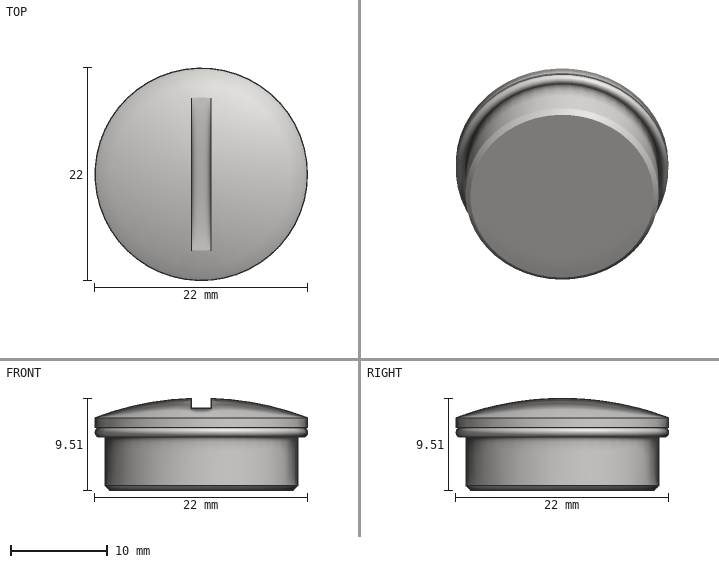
import cadquery as cq
import math

head_diameter = 22.0
apex_height = 9.53
shank_diameter = 20.0
head_bottom = 6.5
shank_chamfer = 0.5
rim_height = 1.01
slot_width = 2.05
slot_depth = 1.03

head_radius = head_diameter / 2
shank_radius = shank_diameter / 2
ring_section_radius = (head_radius - shank_radius) / 2
ring_center_radius = shank_radius + ring_section_radius
ring_center_z = head_bottom - ring_section_radius
dome_base = head_bottom + rim_height
dome_rise = apex_height - dome_base
dome_radius = (head_radius**2 + dome_rise**2) / (2 * dome_rise)
dome_center = apex_height - dome_radius
arc_mid_x = head_radius / 2
arc_mid_z = dome_center + math.sqrt(dome_radius**2 - arc_mid_x**2)


def make_plug():
    """Chamfered shank under a domed head, turned about the Z axis."""
    body = (
        cq.Workplane("XZ")
        .lineTo(shank_radius - shank_chamfer, 0)
        .lineTo(shank_radius, shank_chamfer)
        .lineTo(shank_radius, head_bottom)
        .lineTo(head_radius, head_bottom)
        .lineTo(head_radius, dome_base)
        .threePointArc((arc_mid_x, arc_mid_z), (0, apex_height))
        .close()
        .revolve(360, (0, 0), (0, 1))
    )
    return body.cut(make_slot())


def make_slot():
    """Screwdriver slot along Y; its flat floor runs out through the dome."""
    return (
        cq.Workplane("XY")
        .workplane(offset=apex_height - slot_depth)
        .rect(slot_width, head_diameter)
        .extrude(slot_depth)
    )


def make_seal_ring():
    """Round-section sealing ring that touches the shank and the underside of the head."""
    return (
        cq.Workplane("XZ")
        .center(ring_center_radius, ring_center_z)
        .circle(ring_section_radius)
        .revolve(360, (-ring_center_radius, 0), (-ring_center_radius, 1))
    )


plug = make_plug()
seal_ring = make_seal_ring()

result = cq.Compound.makeCompound([plug.val(), seal_ring.val()])